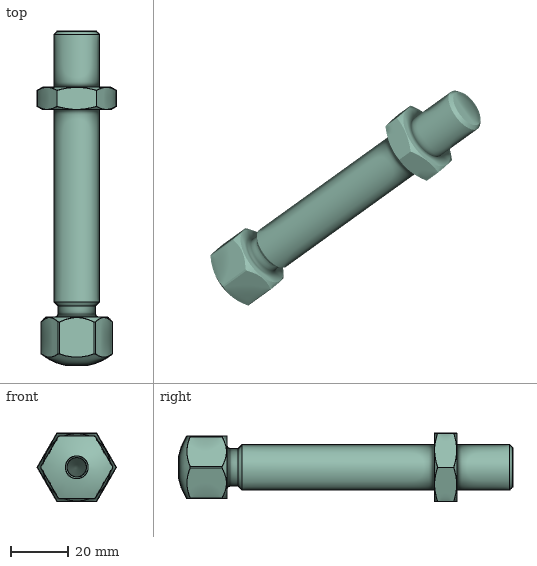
import cadquery as cq
import math


overall_length = 117.0
head_height = 17.0
shank_length = overall_length - head_height
shank_radius = 16.0 / 2
end_chamfer = 1.2

neck_radius = 13.2 / 2
neck_length = 3.9
neck_fillet = 1.0
shoulder_length = shank_radius - neck_radius

head_flats = 22.0
head_corner_radius = 25.0 / 2
head_face_radius = 10.8
dome_radius = 20.0

hole_radius = 6.8 / 2
hole_rim_radius = 8.0 / 2
hole_depth = 14.0
drill_half_angle = math.radians(60)

nut_flats = 24.0
nut_height = 8.0
nut_end_distance = 19.5
nut_face_radius = 11.8
nut_bevel_angle = math.radians(30)
nut_near_y = shank_length - nut_end_distance - nut_height


def corner_radius(flats):
    """Distance from the axis to a corner of a regular hexagon."""
    return flats / math.sqrt(3)


def hex_prism(flats, start_y, length):
    """Hexagonal prism along +Y with corners on the X axis."""
    return (
        cq.Workplane("XZ", origin=(0, start_y, 0))
        .polygon(6, 2 * corner_radius(flats))
        .extrude(-length)
    )


def turned(profile):
    """Revolve a closed half profile in the XY plane about the Y axis."""
    return profile.close().revolve(360, (0, 0, 0), (0, 1, 0))


def dome_y(radius, center_y):
    """Y of the dome surface at a distance from the axis."""
    return center_y - math.sqrt(dome_radius**2 - radius**2)


def make_head():
    rim_y = -head_height
    center_y = rim_y + math.sqrt(dome_radius**2 - hole_rim_radius**2)
    bevel = head_corner_radius - head_face_radius
    envelope = turned(
        cq.Workplane("XY")
        .moveTo(0, 0)
        .lineTo(head_face_radius, 0)
        .lineTo(head_corner_radius, -bevel)
        .lineTo(head_corner_radius, dome_y(head_corner_radius, center_y))
        .threePointArc(
            (hole_rim_radius, rim_y),
            (0, center_y - dome_radius),
        )
    )
    prism_length = dome_radius - center_y
    return hex_prism(head_flats, -prism_length, prism_length).intersect(envelope)


def make_shank():
    fillet_mid = neck_fillet * (1 - math.sqrt(0.5))
    return turned(
        cq.Workplane("XY")
        .moveTo(0, 0)
        .lineTo(neck_radius + neck_fillet, 0)
        .threePointArc(
            (neck_radius + fillet_mid, fillet_mid),
            (neck_radius, neck_fillet),
        )
        .lineTo(neck_radius, neck_length)
        .lineTo(shank_radius, neck_length + shoulder_length)
        .lineTo(shank_radius, shank_length - end_chamfer)
        .lineTo(shank_radius - end_chamfer, shank_length)
        .lineTo(0, shank_length)
    )


def make_end_hole():
    """Chamfered blind hole with a conical bottom, reaching past the dome apex."""
    rim_y = -head_height
    chamfer = hole_rim_radius - hole_radius
    bottom_y = rim_y + hole_depth
    tip_y = bottom_y + hole_radius / math.tan(drill_half_angle)
    return turned(
        cq.Workplane("XY")
        .moveTo(0, rim_y - dome_radius)
        .lineTo(hole_rim_radius, rim_y - dome_radius)
        .lineTo(hole_rim_radius, rim_y)
        .lineTo(hole_radius, rim_y + chamfer)
        .lineTo(hole_radius, bottom_y)
        .lineTo(0, tip_y)
    )


def make_bolt():
    return make_head().union(make_shank()).cut(make_end_hole())


def make_nut():
    far_y = nut_near_y + nut_height
    outer_radius = corner_radius(nut_flats)
    bevel = (outer_radius - nut_face_radius) * math.tan(nut_bevel_angle)
    envelope = turned(
        cq.Workplane("XY")
        .moveTo(shank_radius, nut_near_y)
        .lineTo(nut_face_radius, nut_near_y)
        .lineTo(outer_radius, nut_near_y + bevel)
        .lineTo(outer_radius, far_y - bevel)
        .lineTo(nut_face_radius, far_y)
        .lineTo(shank_radius, far_y)
    )
    return hex_prism(nut_flats, nut_near_y, nut_height).intersect(envelope)


bolt = make_bolt()
nut = make_nut()

result = cq.Compound.makeCompound([bolt.solids().val(), nut.solids().val()])